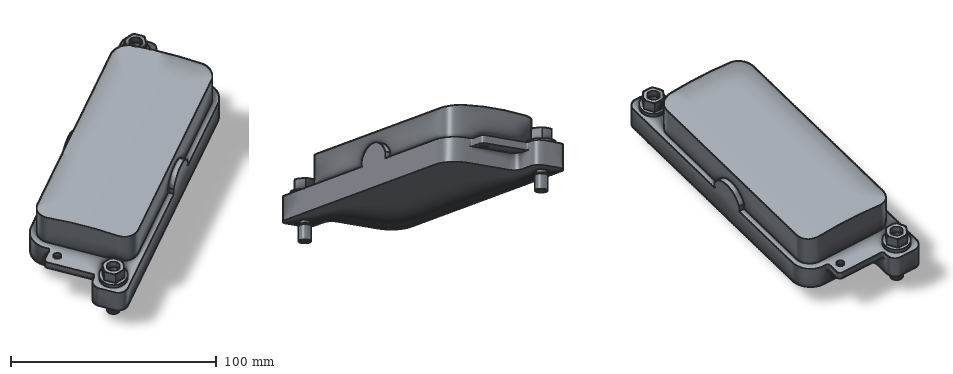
import cadquery as cq
import math

WIDTH = 58.0
LENGTH = 164.0
BASE_HEIGHT = 12.5
BLOCK_LENGTH = 130.0
BLOCK_CORNER_RADIUS = 11.0
LUG_WIDTH = 18.0
LUG_CORNER_RADIUS = 5.0
LUG_SIDE_X = LUG_WIDTH - WIDTH / 2
LUG_ROOT_RADIUS = 5.0

SHELF_THICKNESS = 4.0
SHELF_END_Y = 74.0
SHELF_SIDE_X = 15.4
SHELF_CORNER_RADIUS = 2.0
SHELF_ROOT_RADIUS = 1.0
SHELF_HOLE_DIAMETER = 4.0
SHELF_HOLE_X = 10.5
SHELF_HOLE_Y = 68.2

DOME_WIDTH = 52.0
DOME_LENGTH = 122.7
DOME_CORNER_RADIUS = 8.0
DOME_TOP = 30.8
CROWN_RISE = 2.0

EAR_WIDTH = 20.3
EAR_SHOULDER = 15.7
EAR_TOP = 22.3

SCREW_X = 20.0
SCREW_Y = 72.8
FLANGE_DIAMETER = 14.0
FLANGE_THICKNESS = 2.0
HEX_ACROSS_FLATS = 10.0
HEX_HEIGHT = 5.9
HEX_CHAMFER_RADIUS = 5.2
HEX_CHAMFER_ANGLE = 30.0
SOCKET_DIAMETER = 6.2
SOCKET_DEPTH = 4.0
SOCKET_POINT_ANGLE = 118.0
NECK_DIAMETER = 5.2
THREAD_DIAMETER = 6.4
THREAD_START = -2.5
THREAD_LEAD_IN = 0.8
SCREW_END = -10.5
SCREW_TIP_CHAMFER = 0.5

HALF_TURNS = (0, 180)


def half_turn_copy(shape, angle):
    return shape.rotate((0, 0, 0), (0, 0, 1), angle)


def make_block():
    """Main block: the corners beside the lugs stay square, the other two are rounded."""
    block = cq.Workplane("XY").box(WIDTH, BLOCK_LENGTH, BASE_HEIGHT, centered=(True, True, False))
    return block.edges("|Z and ((>X and >Y) or (<X and <Y))").fillet(BLOCK_CORNER_RADIUS)


def make_lug():
    """Screw lug at the -X, +Y corner, with the concave fillet at its root."""
    root_y = BLOCK_LENGTH / 2
    lug = (
        cq.Workplane("XY")
        .box(LUG_WIDTH, LENGTH / 2, BASE_HEIGHT, centered=False)
        .edges("|Z and >Y")
        .fillet(LUG_CORNER_RADIUS)
        .translate((-WIDTH / 2, 0, 0))
    )
    return lug.union(concave_corner(LUG_SIDE_X, root_y, LUG_ROOT_RADIUS, 0))


def concave_corner(x, y, radius, bottom):
    """Filler that rounds an inner corner at (x, y) opening toward +X and +Y, up to the base top."""
    diagonal = radius * (1 - math.sqrt(0.5))
    return (
        cq.Workplane("XY", origin=(x, y, bottom))
        .lineTo(radius, 0)
        .threePointArc((diagonal, diagonal), (0, radius))
        .close()
        .extrude(BASE_HEIGHT - bottom)
    )


def make_shelf():
    """Thin plate between the +Y lug and the rounded corner of the block."""
    bottom = BASE_HEIGHT - SHELF_THICKNESS
    left_x = LUG_SIDE_X - LUG_WIDTH / 2
    shelf = (
        cq.Workplane("XY", origin=(left_x, 0, bottom))
        .box(SHELF_SIDE_X - left_x, SHELF_END_Y, SHELF_THICKNESS, centered=False)
        .edges("|Z and >X and >Y")
        .fillet(SHELF_CORNER_RADIUS)
    )
    shelf = shelf.union(concave_corner(LUG_SIDE_X, SHELF_END_Y, SHELF_ROOT_RADIUS, bottom))
    return shelf.union(concave_corner(SHELF_SIDE_X, BLOCK_LENGTH / 2, SHELF_ROOT_RADIUS, bottom))


def make_dome():
    """Round-cornered cover whose top is an arc across X."""
    edge_z = DOME_TOP - CROWN_RISE
    profile = (
        cq.Workplane("XZ", origin=(0, DOME_LENGTH / 2, 0))
        .moveTo(-DOME_WIDTH / 2, 0)
        .lineTo(DOME_WIDTH / 2, 0)
        .lineTo(DOME_WIDTH / 2, edge_z)
        .threePointArc((0, DOME_TOP), (-DOME_WIDTH / 2, edge_z))
        .close()
    )
    return profile.extrude(DOME_LENGTH).edges("|Z").fillet(DOME_CORNER_RADIUS)


def make_ears():
    """One tongue profile run across the full width; the dome hides its middle."""
    return (
        cq.Workplane("YZ", origin=(-WIDTH / 2, 0, 0))
        .moveTo(-EAR_WIDTH / 2, 0)
        .lineTo(EAR_WIDTH / 2, 0)
        .lineTo(EAR_WIDTH / 2, EAR_SHOULDER)
        .threePointArc((0, EAR_TOP), (-EAR_WIDTH / 2, EAR_SHOULDER))
        .close()
        .extrude(WIDTH)
    )


def make_round_hole(x, y, diameter):
    return cq.Workplane("XY", origin=(x, y, 0)).circle(diameter / 2).extrude(BASE_HEIGHT)


def make_housing():
    housing = make_block().union(make_dome()).union(make_ears())
    for angle in HALF_TURNS:
        housing = housing.union(half_turn_copy(make_lug(), angle))
        housing = housing.union(half_turn_copy(make_shelf(), angle))
    for angle in HALF_TURNS:
        screw_hole = make_round_hole(-SCREW_X, SCREW_Y, NECK_DIAMETER)
        shelf_hole = make_round_hole(SHELF_HOLE_X, SHELF_HOLE_Y, SHELF_HOLE_DIAMETER)
        housing = housing.cut(half_turn_copy(screw_hole, angle))
        housing = housing.cut(half_turn_copy(shelf_hole, angle))
    return housing


def turn_profile(points):
    """Solid of revolution about Z from a closed outline of (radius, z) points."""
    return cq.Workplane("XZ").polyline(points).close().revolve(360, (0, 0, 0), (0, 1, 0))


def make_hex_head(bottom):
    """Hexagon with corners toward +X and -X, its top corners turned off by a cone."""
    corner_radius = HEX_ACROSS_FLATS / math.sqrt(3)
    hexagon = (
        cq.Workplane("XY", origin=(0, 0, bottom))
        .polygon(6, 2 * corner_radius)
        .extrude(HEX_HEIGHT)
    )
    chamfer_drop = (corner_radius - HEX_CHAMFER_RADIUS) * math.tan(math.radians(HEX_CHAMFER_ANGLE))
    top = bottom + HEX_HEIGHT
    envelope = turn_profile(
        [
            (0, bottom),
            (corner_radius, bottom),
            (corner_radius, top - chamfer_drop),
            (HEX_CHAMFER_RADIUS, top),
            (0, top),
        ]
    )
    return hexagon.intersect(envelope)


def make_socket(top):
    """Blind hole with a conical bottom, opening upward at the given height."""
    radius = SOCKET_DIAMETER / 2
    point_depth = radius / math.tan(math.radians(SOCKET_POINT_ANGLE / 2))
    return turn_profile(
        [
            (0, top),
            (radius, top),
            (radius, top - SOCKET_DEPTH),
            (0, top - SOCKET_DEPTH - point_depth),
        ]
    )


def make_screw():
    """Flanged captive screw on the Z axis: flange, slim neck and thicker threaded end."""
    flange_radius = FLANGE_DIAMETER / 2
    neck_radius = NECK_DIAMETER / 2
    thread_radius = THREAD_DIAMETER / 2
    flange_top = BASE_HEIGHT + FLANGE_THICKNESS
    turned = turn_profile(
        [
            (0, flange_top),
            (flange_radius, flange_top),
            (flange_radius, BASE_HEIGHT),
            (neck_radius, BASE_HEIGHT),
            (neck_radius, THREAD_START + THREAD_LEAD_IN),
            (thread_radius, THREAD_START),
            (thread_radius, SCREW_END + SCREW_TIP_CHAMFER),
            (thread_radius - SCREW_TIP_CHAMFER, SCREW_END),
            (0, SCREW_END),
        ]
    )
    return turned.union(make_hex_head(flange_top)).cut(make_socket(flange_top + HEX_HEIGHT))


housing = make_housing()
screws = [half_turn_copy(make_screw().translate((-SCREW_X, SCREW_Y, 0)), angle) for angle in HALF_TURNS]
result = cq.Compound.makeCompound([housing.val(), *[screw.val() for screw in screws]])